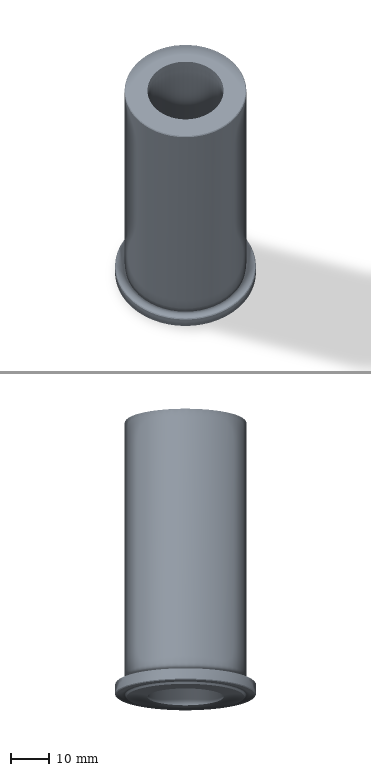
import cadquery as cq

total_height = 74.0
flange_radius = 18.5
body_radius = 16.0
bore_radius = 10.0
flange_bottom = 0.5
flange_top = 3.55
edge_chamfer = 0.2

seat_root_radius = body_radius
seat_face_radius = seat_root_radius - flange_bottom

relief_depth = 0.15
relief_sink = 0.15
relief_top = 4.8
relief_outer_radius = 16.5

profile = (
    cq.Workplane("XZ")
    .moveTo(bore_radius, 0)
    .lineTo(seat_face_radius, 0)
    .lineTo(seat_root_radius, flange_bottom)
    .lineTo(flange_radius - edge_chamfer, flange_bottom)
    .lineTo(flange_radius, flange_bottom + edge_chamfer)
    .lineTo(flange_radius, flange_top - edge_chamfer)
    .lineTo(flange_radius - edge_chamfer, flange_top)
    .lineTo(relief_outer_radius, flange_top)
    .lineTo(body_radius - relief_depth, flange_top - relief_sink)
    .lineTo(body_radius, relief_top)
    .lineTo(body_radius, total_height - edge_chamfer)
    .lineTo(body_radius - edge_chamfer, total_height)
    .lineTo(bore_radius, total_height)
    .close()
)

result = profile.revolve(360, (0, 0, 0), (0, 1, 0))